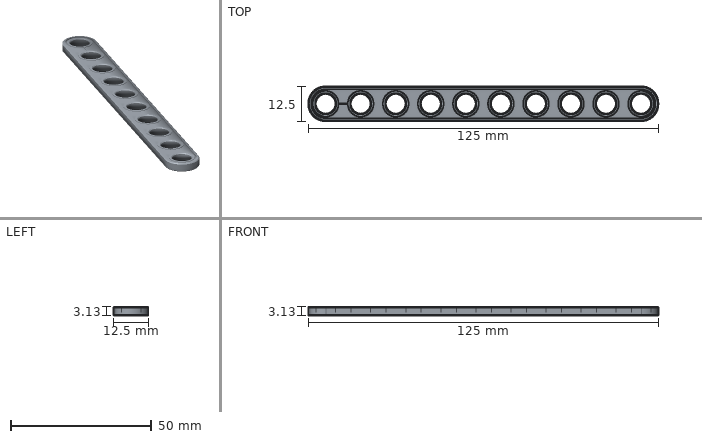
import cadquery as cq

hole_count = 10
pitch = 12.5
width = pitch
thickness = pitch / 4
length = hole_count * pitch
edge_chamfer = 0.3

hole_diameter = 7.0
hole_chamfer = 0.3
hole_chamfer_angle = 45
ring_diameter = 9.2

panel_margin = 1.1
panel_depth = 0.2

rib_width = 0.2

hole_centres = [((i - (hole_count - 1) / 2) * pitch, 0) for i in range(hole_count)]


def bar_body():
    """Round-ended bar lying on Z = 0, with its outline edges chamfered top and bottom."""
    body = cq.Workplane("XY").slot2D(length, width).extrude(thickness)
    return body.faces("<Z or >Z").edges().chamfer(edge_chamfer)


def panel_cutter():
    """Recess parallel to the outline that leaves the rings and the rib at full height."""
    floor = cq.Workplane("XY").workplane(offset=thickness - panel_depth)
    panel = floor.slot2D(length - 2 * panel_margin, width - 2 * panel_margin).extrude(panel_depth)
    rings = floor.pushPoints(hole_centres).circle(ring_diameter / 2).extrude(panel_depth)
    rib_x = (hole_centres[0][0] + hole_centres[1][0]) / 2
    rib = floor.center(rib_x, 0).rect(pitch - hole_diameter, rib_width).extrude(panel_depth)
    return panel.cut(rings).cut(rib)


def hole_cutter():
    """One through hole at the origin, widened by a chamfer at both faces."""
    bore = cq.Workplane("XY").circle(hole_diameter / 2).extrude(thickness)
    mouth_radius = hole_diameter / 2 + hole_chamfer
    bottom = cq.Workplane("XY").circle(mouth_radius).extrude(hole_chamfer, taper=hole_chamfer_angle)
    top = bottom.mirror("XY").translate((0, 0, thickness))
    return bore.union(bottom).union(top)


result = bar_body().cut(panel_cutter())
for x, y in hole_centres:
    result = result.cut(hole_cutter().translate((x, y, 0)))